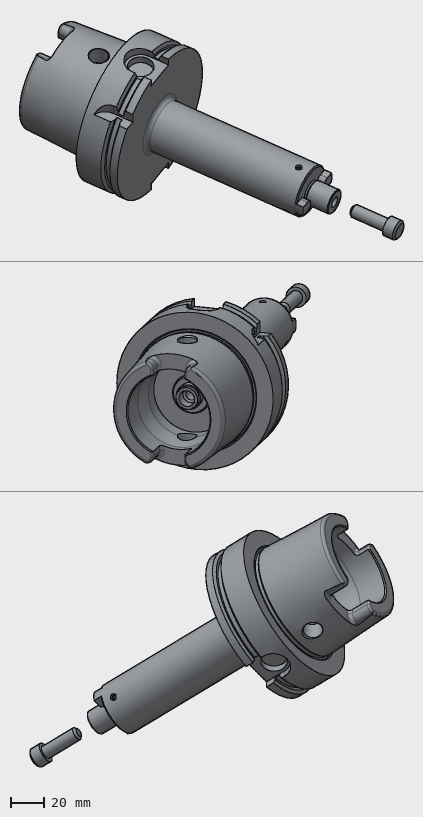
import cadquery as cq
import math


FLANGE_X = 49.5
TAPER_SLOPE = 1 / 20
TAPER_BACK_X = 47.4
TAPER_BACK_R = 38.0
TAPER_TIP_R = TAPER_BACK_R - TAPER_SLOPE * TAPER_BACK_X
TIP_ROUND = 2.0
RELIEF_R = 37.5
RELIEF_OUTER_R = 39.5
RELIEF_DEPTH = 0.7
RELIEF_CHAMFER = 0.7

BORE_R = 26.3
BORE_CHAMFER = 0.7
BORE_STRAIGHT = 19.3
BORE_TAPER_END = 34.2
BORE_FLOOR_R = 24.5
BORE_FLOOR_X = 44.6
BOSS_R = 24.0 / 2
BOSS_X = 42.2
BOSS_CHAMFER = 0.7
NOZZLE_R = 15.5 / 2
NOZZLE_X = 37.2
TIP_R = 14.0 / 2
TIP_X = 34.2
TIP_BORE_R = 10.0 / 2
TIP_BORE_DEPTH = 7.5
COOLANT_R = 7.0 / 2
DRILL_POINT = 118

CROSS_X = 35.2
CROSS_D = 12.0
CROSS_SINK_D = 13.0
CROSS_SINK_Z = 37.2
CROSS_SINK_CLEAR = 1.2

KEYWAY_HALF = 10.05
KEYWAY_FLARE_R = 4.5
KEYWAY_FLARE_Z = 27.8
KEYWAY_FLOOR_R = 2.2
KEYWAY_MOUTH_R = 1.5
KEYWAY_INNER_Z = 19.8
TOP_KEYWAY_DEPTH = 10.0
BOTTOM_KEYWAY_DEPTH = 15.1

FLANGE_R = 100.0 / 2
FLANGE_LENGTH = 29.0
FLANGE_END_X = FLANGE_X + FLANGE_LENGTH
GROOVE_R = 46.1
GROOVE_START_X = 67.0
GROOVE_FLOOR_X = 68.5
GROOVE_FLOOR_END_X = 72.2
GROOVE_STEP_R = 47.9
GROOVE_END_X = 73.5
POCKET_X = 65.0
POCKET_R = 10.05
POCKET_FLOOR_Z = 44.0
POCKET_HOLE_D = 16.0
POCKET_HOLE_DEPTH = 5.0
NOTCH_OFFSET = 31.7

ARBOR_R = 34.0 / 2
ARBOR_FILLET = 3.0
ARBOR_END_X = 185.0
ARBOR_CHAMFER = 0.7
NECK_R = 7.5
NECK_LENGTH = 1.2
PILOT_R = 16.0 / 2
PILOT_END_X = 202.0
PILOT_CHAMFER = 0.5
KEY_WIDTH = 8.0
KEY_LENGTH = 5.0
KEY_ROUND_Y = 11.7
OIL_HOLE_X = 176.8
OIL_SINK_D = 4.0
OIL_SINK_DEPTH = 2.0
OIL_HOLE_D = 2.5
OIL_HOLE_DEPTH = 4.0
OIL_HOLE_COUNT = 3

SCREW_TIP_X = 214.5
SCREW_END_X = 248.0
SHANK_R = 8.5 / 2
SHANK_CHAMFER = 1.5
HEAD_R = 13.0 / 2
HEAD_LENGTH = 8.2
HEAD_CHAMFER = 1.2

CLEAR = 12.5


def revolve_about_x(points):
    """Solid of revolution of an (x, radius) outline that starts and ends on the X axis."""
    return cq.Workplane("XY").polyline(points).close().revolve(360, (0, 0, 0), (1, 0, 0))


def cylinder_x(radius, start, end):
    return cq.Workplane("YZ", origin=(start, 0, 0)).circle(radius).extrude(end - start)


def drill_z(x, diameter, bottom, top):
    return cq.Workplane("XY", origin=(x, 0, bottom)).circle(diameter / 2).extrude(top - bottom)


def turn(shape, angle):
    return shape.rotate((0, 0, 0), (1, 0, 0), angle)


def turned_body():
    body = revolve_about_x([
        (0, 0),
        (0, TAPER_TIP_R),
        (TAPER_BACK_X, TAPER_BACK_R),
        (TAPER_BACK_X + RELIEF_CHAMFER, RELIEF_R),
        (FLANGE_X + RELIEF_DEPTH, RELIEF_R),
        (FLANGE_X + RELIEF_DEPTH, RELIEF_OUTER_R - RELIEF_CHAMFER),
        (FLANGE_X, RELIEF_OUTER_R),
        (FLANGE_X, FLANGE_R),
        (GROOVE_START_X, FLANGE_R),
        (GROOVE_FLOOR_X, GROOVE_STEP_R),
        (GROOVE_FLOOR_X, GROOVE_R),
        (GROOVE_FLOOR_END_X, GROOVE_R),
        (GROOVE_FLOOR_END_X, GROOVE_STEP_R),
        (GROOVE_END_X, FLANGE_R),
        (FLANGE_END_X, FLANGE_R),
        (FLANGE_END_X, 0),
    ])
    arbor = cylinder_x(ARBOR_R, FLANGE_X, ARBOR_END_X).faces(">X").chamfer(ARBOR_CHAMFER)
    body = body.union(arbor)
    root = cq.selectors.BoxSelector(
        (FLANGE_END_X - 0.2, -ARBOR_R - 0.2, -ARBOR_R - 0.2),
        (FLANGE_END_X + 0.2, ARBOR_R + 0.2, ARBOR_R + 0.2), boundingbox=True,
    )
    return body.edges(root).fillet(ARBOR_FILLET).faces("<X").edges().fillet(TIP_ROUND)


def bore_cutter():
    return revolve_about_x([
        (0, 0),
        (0, BORE_R + BORE_CHAMFER),
        (BORE_CHAMFER, BORE_R),
        (BORE_STRAIGHT, BORE_R),
        (BORE_TAPER_END, BORE_FLOOR_R),
        (BORE_FLOOR_X, BORE_FLOOR_R),
        (BORE_FLOOR_X, 0),
    ])


def nozzle():
    return revolve_about_x([
        (TIP_X, 0),
        (TIP_X, TIP_R),
        (NOZZLE_X, TIP_R),
        (NOZZLE_X, NOZZLE_R),
        (BOSS_X, NOZZLE_R),
        (BOSS_X, BOSS_R - BOSS_CHAMFER),
        (BOSS_X + BOSS_CHAMFER, BOSS_R),
        (BORE_FLOOR_X, BOSS_R),
        (BORE_FLOOR_X, 0),
    ])


def coolant_cutter():
    bore_end = TIP_X + TIP_BORE_DEPTH
    cone_length = (TIP_BORE_R - COOLANT_R) / math.tan(math.radians(DRILL_POINT / 2))
    return revolve_about_x([
        (TIP_X, 0),
        (TIP_X, TIP_BORE_R),
        (bore_end, TIP_BORE_R),
        (bore_end + cone_length, COOLANT_R),
        (PILOT_END_X, COOLANT_R),
        (PILOT_END_X, 0),
    ])


def keyway_sides(x, side_y, flare_top):
    """Selects the edges of the keyway sides in the plane at x."""
    return cq.selectors.BoxSelector(
        (x - 0.2, 0.2 - side_y, KEYWAY_INNER_Z + 0.2),
        (x + 0.2, side_y - 0.2, flare_top + 0.2),
    )


def keyway_cutter(depth):
    """Slot through the upper wall whose sides flare out in a quarter round and have rounded mouths."""
    flare_y = KEYWAY_HALF + KEYWAY_FLARE_R
    flare_top = KEYWAY_FLARE_Z + KEYWAY_FLARE_R
    mid_y = flare_y - KEYWAY_FLARE_R * math.cos(math.pi / 4)
    mid_z = KEYWAY_FLARE_Z + KEYWAY_FLARE_R * math.sin(math.pi / 4)
    side_y = flare_y + CLEAR
    top_z = TAPER_BACK_R + CLEAR
    slot = (
        cq.Workplane("YZ")
        .moveTo(-KEYWAY_HALF, KEYWAY_INNER_Z)
        .lineTo(KEYWAY_HALF, KEYWAY_INNER_Z)
        .lineTo(KEYWAY_HALF, KEYWAY_FLARE_Z)
        .threePointArc((mid_y, mid_z), (flare_y, flare_top))
        .lineTo(side_y, flare_top)
        .lineTo(side_y, top_z)
        .lineTo(-side_y, top_z)
        .lineTo(-side_y, flare_top)
        .lineTo(-flare_y, flare_top)
        .threePointArc((-mid_y, mid_z), (-KEYWAY_HALF, KEYWAY_FLARE_Z))
        .close()
        .extrude(depth)
    )
    slot = slot.edges(keyway_sides(depth, side_y, flare_top)).fillet(KEYWAY_FLOOR_R)
    block = (
        cq.Workplane("XY", origin=(depth / 2, 0, KEYWAY_INNER_Z))
        .rect(depth, 2 * side_y).extrude(top_z - KEYWAY_INNER_Z)
    )
    rounded_block = block.cut(slot).edges(keyway_sides(0, side_y, flare_top)).fillet(KEYWAY_MOUTH_R)
    return block.cut(rounded_block)


def cross_hole_cutter():
    """Countersunk hole through the upper taper wall."""
    hole = drill_z(CROSS_X, CROSS_D, KEYWAY_INNER_Z, CROSS_SINK_Z + CLEAR)
    sink_depth = (CROSS_SINK_D - CROSS_D) / 2
    sink_height = sink_depth + CROSS_SINK_CLEAR
    top_r = CROSS_D / 2 + sink_height
    sink = cq.Solid.makeCone(
        CROSS_D / 2, top_r, sink_height, cq.Vector(CROSS_X, 0, CROSS_SINK_Z - sink_depth))
    return hole.union(cq.Workplane(sink))


def pocket_cutter():
    """Round-ended driving pocket in the top of the flange, with a blind hole at its end."""
    height = FLANGE_R - POCKET_FLOOR_Z + CLEAR
    length = FLANGE_END_X - POCKET_X
    slot = (
        cq.Workplane("XY", origin=(POCKET_X, 0, POCKET_FLOOR_Z))
        .rect(length, 2 * POCKET_R).extrude(height).translate((length / 2, 0, 0))
    )
    end = drill_z(POCKET_X, 2 * POCKET_R, POCKET_FLOOR_Z, POCKET_FLOOR_Z + height)
    hole = drill_z(POCKET_X, POCKET_HOLE_D, POCKET_FLOOR_Z - POCKET_HOLE_DEPTH, POCKET_FLOOR_Z)
    return slot.union(end).union(hole)


def notch_cutter():
    """Orientation notch in the upper -Y corner of the flange, closed by a round end."""
    middle_y = -NOTCH_OFFSET - POCKET_R
    floor = cq.Workplane("XY", origin=(POCKET_X, middle_y, NOTCH_OFFSET))
    height = FLANGE_R - NOTCH_OFFSET
    length = FLANGE_END_X - POCKET_X
    slot = floor.center(length / 2, 0).rect(length, 2 * POCKET_R).extrude(height)
    end = cq.Workplane(floor.plane).circle(POCKET_R).extrude(height)
    return slot.union(end)


def pilot():
    neck_end = ARBOR_END_X + NECK_LENGTH
    return revolve_about_x([
        (FLANGE_END_X, 0),
        (FLANGE_END_X, NECK_R),
        (neck_end, NECK_R),
        (neck_end + PILOT_R - NECK_R, PILOT_R),
        (PILOT_END_X - PILOT_CHAMFER, PILOT_R),
        (PILOT_END_X, PILOT_R - PILOT_CHAMFER),
        (PILOT_END_X, 0),
    ])


def drive_key():
    """Key on the +Y side of the arbor face with a rounded inner end."""
    face = cq.Workplane("YZ", origin=(ARBOR_END_X - ARBOR_CHAMFER, 0, 0))
    length = KEY_LENGTH + ARBOR_CHAMFER
    bar = face.center(KEY_ROUND_Y + ARBOR_R / 2, 0).rect(ARBOR_R, KEY_WIDTH).extrude(length)
    inner_end = face.center(KEY_ROUND_Y, 0).circle(KEY_WIDTH / 2).extrude(length)
    return bar.union(inner_end).intersect(face.circle(ARBOR_R).extrude(length))


def oil_hole_cutter():
    """Blind counterbored hole in the top of the arbor."""
    sink = drill_z(OIL_HOLE_X, OIL_SINK_D, ARBOR_R - OIL_SINK_DEPTH, ARBOR_R + CLEAR)
    return sink.union(drill_z(OIL_HOLE_X, OIL_HOLE_D, ARBOR_R - OIL_HOLE_DEPTH, ARBOR_R))


def make_holder():
    body = turned_body().cut(bore_cutter())
    body = body.cut(keyway_cutter(TOP_KEYWAY_DEPTH))
    body = body.cut(turn(keyway_cutter(BOTTOM_KEYWAY_DEPTH), 180))
    body = body.union(nozzle()).union(pilot())
    for angle in (0, 180):
        body = body.cut(turn(cross_hole_cutter(), angle))
        body = body.cut(turn(pocket_cutter(), angle))
        body = body.union(turn(drive_key(), angle))
    body = body.cut(notch_cutter())
    body = body.cut(coolant_cutter())
    for index in range(OIL_HOLE_COUNT):
        body = body.cut(turn(oil_hole_cutter(), index * 360 / OIL_HOLE_COUNT))
    return body.solids()


def make_screw():
    head_x = SCREW_END_X - HEAD_LENGTH
    return revolve_about_x([
        (SCREW_TIP_X, 0),
        (SCREW_TIP_X, SHANK_R - SHANK_CHAMFER),
        (SCREW_TIP_X + SHANK_CHAMFER, SHANK_R),
        (head_x, SHANK_R),
        (head_x, HEAD_R),
        (SCREW_END_X - HEAD_CHAMFER, HEAD_R),
        (SCREW_END_X, HEAD_R - HEAD_CHAMFER),
        (SCREW_END_X, 0),
    ])


holder = make_holder()
screw = make_screw()
result = cq.Compound.makeCompound([holder.val(), screw.val()])